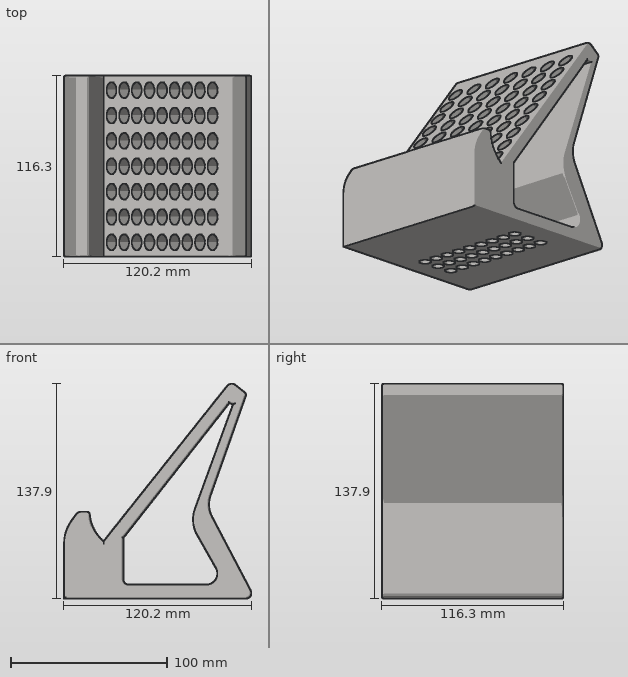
import cadquery as cq
import math

WIDTH = 116.33
SIDE_ROUND = 1.3

REST_ANGLE = math.radians(51.5)
NOTCH_X, NOTCH_Z = 25.4, 36.95
REST_LENGTH = 131.03
ALONG_X, ALONG_Z = math.cos(REST_ANGLE), math.sin(REST_ANGLE)

LIP_TOP = 55.9
LIP_FRONT_BREAK = 43.5
LIP_BEVEL_X = 9.0
LIP_INNER_X = 16.6
LIP_HOLLOW_MID = (19.2, 44.9)

HEEL_X = 122.63
WAIST = (91.6, 59.2)
CAP_LENGTH = 13.0

HEEL_RADIUS = 3.7
WAIST_RADIUS = 17.0
CAP_REAR_RADIUS = 2.0
TOP_RADIUS = 3.85
LIP_INNER_RADIUS = 2.0
LIP_BEVEL_RADIUS = 4.5
LIP_FRONT_RADIUS = 25.0

FLOOR = 9.2
WINDOW_FRONT = 38.2
WINDOW_FRONT_TOP = 39.1
WINDOW_PEAK = (105.9, 125.3)
WINDOW_PEAK_REAR = (108.3, 124.6)
WINDOW_WAIST = (80.7, 49.0)
WINDOW_HEEL_X = 103.3
WINDOW_FRONT_RADIUS = 3.2
WINDOW_HEEL_RADIUS = 7.0
WINDOW_WAIST_RADIUS = 20.0

REST_HOLE_DIAMETER = 10.16
REST_ROWS = 9
REST_COLUMNS = 7
REST_ROW_PITCH = 13.0
REST_COLUMN_PITCH = 16.256
FIRST_ROW = 8.2
REST_HOLE_DEPTH = 9.2

FLOOR_HOLE_DIAMETER = 7.7
FLOOR_HOLE_FRONT = 57.5
FLOOR_HOLE_PITCH_X = 12.0
FLOOR_HOLE_PITCH_Y = 9.92
FLOOR_ROWS = 3
FLOOR_COLUMNS = 9


def round_corners(body, corners):
    """Round the Y-direction edge standing at each (x, z) by its radius."""
    for (x, z), radius in corners:
        edge = cq.selectors.NearestToPointSelector((x, 0, z))
        body = body.edges("|Y").edges(edge).fillet(radius)
    return body


def extrude_profile(outline):
    """Extrude a closed X-Z outline over the full width, centred on Y = 0."""
    return outline.close().extrude(WIDTH / 2, both=True)


def make_body():
    """Solid stand: front lip, backrest plane and rear leg in one profile."""
    notch = (NOTCH_X, NOTCH_Z)
    top = (NOTCH_X + REST_LENGTH * ALONG_X, NOTCH_Z + REST_LENGTH * ALONG_Z)
    cap_rear = (top[0] + CAP_LENGTH * ALONG_Z, top[1] - CAP_LENGTH * ALONG_X)
    heel = (HEEL_X, 0)
    lip_front = (0, LIP_FRONT_BREAK)
    lip_bevel = (LIP_BEVEL_X, LIP_TOP)
    lip_inner = (LIP_INNER_X, LIP_TOP)
    outline = (
        cq.Workplane("XZ")
        .moveTo(0, 0)
        .lineTo(*heel)
        .lineTo(*WAIST)
        .lineTo(*cap_rear)
        .lineTo(*top)
        .lineTo(*notch)
        .threePointArc(LIP_HOLLOW_MID, lip_inner)
        .lineTo(*lip_bevel)
        .lineTo(*lip_front)
    )
    corners = [
        (heel, HEEL_RADIUS),
        (WAIST, WAIST_RADIUS),
        (cap_rear, CAP_REAR_RADIUS),
        (top, TOP_RADIUS),
        (lip_inner, LIP_INNER_RADIUS),
        (lip_bevel, LIP_BEVEL_RADIUS),
        (lip_front, LIP_FRONT_RADIUS),
    ]
    return round_corners(extrude_profile(outline), corners)


def make_window():
    """Opening between the base, the backrest and the rear leg."""
    heel = (WINDOW_HEEL_X, FLOOR)
    front_floor = (WINDOW_FRONT, FLOOR)
    outline = (
        cq.Workplane("XZ")
        .moveTo(*front_floor)
        .lineTo(*heel)
        .lineTo(*WINDOW_WAIST)
        .lineTo(*WINDOW_PEAK_REAR)
        .lineTo(*WINDOW_PEAK)
        .lineTo(WINDOW_FRONT, WINDOW_FRONT_TOP)
    )
    corners = [
        (front_floor, WINDOW_FRONT_RADIUS),
        (heel, WINDOW_HEEL_RADIUS),
        (WINDOW_WAIST, WINDOW_WAIST_RADIUS),
    ]
    return round_corners(extrude_profile(outline), corners)


def make_rest_holes():
    """Grid of holes square to the backrest plane."""
    middle = FIRST_ROW + REST_ROW_PITCH * (REST_ROWS - 1) / 2
    plane = cq.Plane(
        origin=(NOTCH_X + middle * ALONG_X, 0, NOTCH_Z + middle * ALONG_Z),
        xDir=(ALONG_X, 0, ALONG_Z),
        normal=(ALONG_Z, 0, -ALONG_X),
    )
    return (
        cq.Workplane(plane)
        .rarray(REST_ROW_PITCH, REST_COLUMN_PITCH, REST_ROWS, REST_COLUMNS)
        .circle(REST_HOLE_DIAMETER / 2)
        .extrude(REST_HOLE_DEPTH)
    )


def make_floor_holes():
    """Grid of vertical holes through the base under the window."""
    middle = FLOOR_HOLE_FRONT + FLOOR_HOLE_PITCH_X * (FLOOR_ROWS - 1) / 2
    return (
        cq.Workplane("XY")
        .center(middle, 0)
        .rarray(FLOOR_HOLE_PITCH_X, FLOOR_HOLE_PITCH_Y, FLOOR_ROWS, FLOOR_COLUMNS)
        .circle(FLOOR_HOLE_DIAMETER / 2)
        .extrude(FLOOR)
    )


stand = make_body().cut(make_window())
stand = stand.faces("<Y or >Y").edges().fillet(SIDE_ROUND)
result = stand.cut(make_rest_holes()).cut(make_floor_holes())